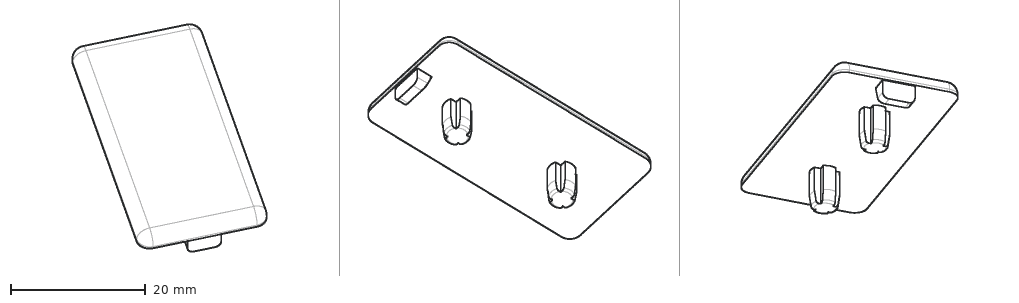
import cadquery as cq

length = 40
width = 20
plate_thickness = 2.5
edge_radius = 2

peg_spacing = 20
peg_length = 6
peg_radius = 2.25
peg_taper_height = 2
peg_tip_radius = 1.95
peg_tip_fillet = 0.4
arm_width = 2

hook_outer_x = 19.7
hook_top_length = 2.75
hook_bottom_length = 1.65
hook_depth = 3.0
hook_width = 5.2
hook_fillet = 1.0


def make_plate():
    """Rectangular plate with rounded corners and a rounded upper rim."""
    block = cq.Workplane("XY").box(length, width, plate_thickness, centered=(True, True, False))
    return block.edges("|Z").fillet(edge_radius).faces(">Z").edges().fillet(edge_radius)


def make_peg():
    """Tapered round pin cut down to a cross of two equal arms."""
    pin = (
        cq.Workplane("XZ")
        .lineTo(peg_radius, 0)
        .lineTo(peg_radius, peg_taper_height - peg_length)
        .lineTo(peg_tip_radius, -peg_length)
        .lineTo(0, -peg_length)
        .close()
        .revolve(360, (0, 0, 0), (0, 1, 0))
        .faces("<Z")
        .edges()
        .fillet(peg_tip_fillet)
    )
    arm_length = 2 * peg_radius
    arm = cq.Workplane("XY").rect(arm_length, arm_width).extrude(-peg_length)
    cross = arm.union(arm.rotate((0, 0, 0), (0, 0, 1), 90))
    return pin.intersect(cross)


def make_hook():
    """Wedge with a sloping inner face and rounded lower side edges."""
    profile = [
        (hook_outer_x - hook_top_length, 0),
        (hook_outer_x, 0),
        (hook_outer_x, -hook_depth),
        (hook_outer_x - hook_bottom_length, -hook_depth),
    ]
    wedge = cq.Workplane("XZ").polyline(profile).close().extrude(hook_width / 2, both=True)
    return wedge.faces("<Z").edges("|X").fillet(hook_fillet)


result = make_plate().union(make_hook())
for peg_x in (-peg_spacing / 2, peg_spacing / 2):
    result = result.union(make_peg().translate((peg_x, 0, 0)))